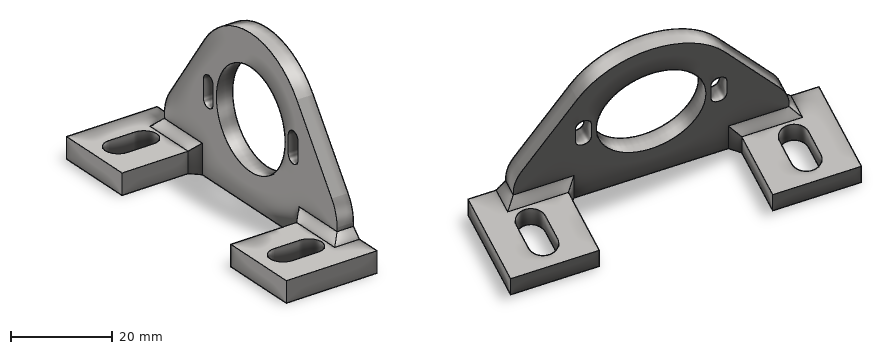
import cadquery as cq
import math

overall_width = 75.0
overall_depth = 22.0
overall_height = 38.7

plate_thickness = 4.0
plate_half_width = 29.5
crown_radius = 19.3
bore_diameter = 23.4
bore_height = overall_height - crown_radius
shoulder_height = 11.0
shoulder_radius = 10.0

plate_slot_width = 3.4
plate_slot_length = 7.35
plate_slot_offset = 14.5

foot_width = 19.0
foot_thickness = 5.0
foot_slot_width = 6.2
foot_slot_length = 12.45
foot_slot_offset = 28.1
foot_slot_from_back = 13.0

bevel = 2.0


def make_plate():
    """Domed plate with straight flanks tangent to the crown."""
    rise = shoulder_height - bore_height
    corner_distance = math.hypot(plate_half_width, rise)
    tangent_angle = math.atan2(rise, plate_half_width) + math.acos(crown_radius / corner_distance)
    tangent_x = crown_radius * math.cos(tangent_angle)
    tangent_z = bore_height + crown_radius * math.sin(tangent_angle)

    plate = (
        cq.Workplane("XZ")
        .moveTo(-plate_half_width, 0)
        .lineTo(plate_half_width, 0)
        .lineTo(plate_half_width, shoulder_height)
        .lineTo(tangent_x, tangent_z)
        .threePointArc((0, overall_height), (-tangent_x, tangent_z))
        .lineTo(-plate_half_width, shoulder_height)
        .close()
        .extrude(plate_thickness)
    )
    for side in (-1, 1):
        corner = (side * plate_half_width, -plate_thickness / 2, shoulder_height)
        plate = plate.edges(cq.selectors.NearestToPointSelector(corner)).fillet(shoulder_radius)
    return plate


def make_foot():
    """Right-hand foot pad."""
    return cq.Workplane("XY").box(
        foot_width, overall_depth, foot_thickness, centered=False
    ).translate((overall_width / 2 - foot_width, -overall_depth, 0))


def make_bevel():
    """Mitred bevel around the right-hand foot, on the plate's front and outer side."""
    inner = overall_width / 2 - foot_width - bevel
    outer = plate_half_width + bevel
    front = -plate_thickness - bevel
    top = foot_thickness + bevel

    block = cq.Workplane("XY").box(outer - inner, -front, top, centered=False)
    block = block.translate((inner, front, 0))

    front_top = (
        cq.Workplane("YZ", origin=(inner, 0, 0))
        .polyline([(front, foot_thickness), (front, top), (front + bevel, top)])
        .close()
        .extrude(outer - inner)
    )
    outer_top = (
        cq.Workplane("XZ")
        .polyline([(outer, foot_thickness), (outer, top), (outer - bevel, top)])
        .close()
        .extrude(-front)
    )
    front_inner = (
        cq.Workplane("XY")
        .polyline([(inner, front), (inner + bevel, front), (inner, front + bevel)])
        .close()
        .extrude(top)
    )
    return block.cut(front_top).cut(outer_top).cut(front_inner)


def cut_bore_and_plate_slots(body):
    bore = (
        cq.Workplane("XZ")
        .center(0, bore_height)
        .circle(bore_diameter / 2)
        .extrude(plate_thickness)
    )
    slots = (
        cq.Workplane("XZ")
        .pushPoints([(side * plate_slot_offset, bore_height) for side in (-1, 1)])
        .slot2D(plate_slot_length, plate_slot_width, 90)
        .extrude(plate_thickness)
    )
    return body.cut(bore).cut(slots)


def cut_foot_slots(body):
    slots = (
        cq.Workplane("XY")
        .pushPoints([(side * foot_slot_offset, -foot_slot_from_back) for side in (-1, 1)])
        .slot2D(foot_slot_length, foot_slot_width, 90)
        .extrude(foot_thickness)
    )
    return body.cut(slots)


right_mount = make_foot().union(make_bevel())
body = make_plate().union(right_mount).union(right_mount.mirror("YZ"))
result = cut_foot_slots(cut_bore_and_plate_slots(body))